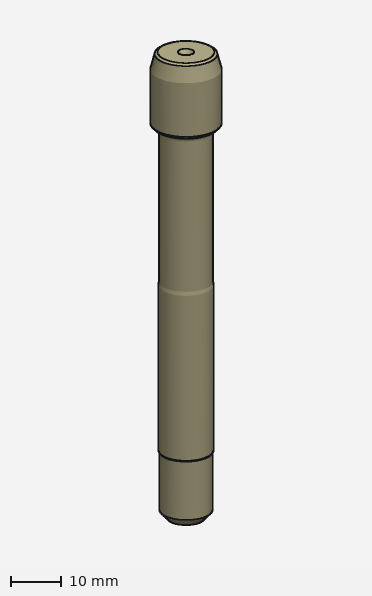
import cadquery as cq
import math

length = 100.0
head_diameter = 14.2
shank_diameter = 10.7
collar_diameter = 11.0
pilot_diameter = 10.6

crown_length = 3.7
crown_angle = 15.0
rim_bevel_height = 0.4
rim_bevel_width = 0.6
head_length = 15.2
underside_bevel = 0.7
neck_radius = 1.1

collar_bottom = 14.6
collar_top = 50.0
collar_upper_taper = 0.8
collar_lower_taper = 0.3
tip_length = 1.8
tip_diameter = 7.4

hole_diameter = 2.0
hole_depth = 4.0
drill_point_angle = 120.0
countersink_diameter = 3.2
countersink_angle = 60.0


def cone_height(large_diameter, small_diameter, included_angle):
    """Axial height of a cone between two diameters."""
    return (large_diameter - small_diameter) / 2 / math.tan(math.radians(included_angle / 2))


def make_body():
    """Revolve the stepped half profile about the Z axis."""
    head_r = head_diameter / 2
    shank_r = shank_diameter / 2
    collar_r = collar_diameter / 2
    pilot_r = pilot_diameter / 2

    crown_base_z = length - crown_length
    rim_z = length - rim_bevel_height
    rim_r = head_r - (rim_z - crown_base_z) * math.tan(math.radians(crown_angle))
    head_bottom_z = length - head_length
    neck_top_z = head_bottom_z - underside_bevel

    neck_outer_r = shank_r + neck_radius
    neck_bottom_z = neck_top_z - neck_radius
    arc_inset = neck_radius * (1 - math.sqrt(0.5))

    return (
        cq.Workplane("XZ")
        .moveTo(0, 0)
        .lineTo(tip_diameter / 2, 0)
        .lineTo(pilot_r, tip_length)
        .lineTo(pilot_r, collar_bottom - collar_lower_taper)
        .lineTo(collar_r, collar_bottom)
        .lineTo(collar_r, collar_top)
        .lineTo(shank_r, collar_top + collar_upper_taper)
        .lineTo(shank_r, neck_bottom_z)
        .threePointArc(
            (shank_r + arc_inset, neck_top_z - arc_inset),
            (neck_outer_r, neck_top_z),
        )
        .lineTo(head_r, head_bottom_z)
        .lineTo(head_r, crown_base_z)
        .lineTo(rim_r, rim_z)
        .lineTo(rim_r - rim_bevel_width, length)
        .lineTo(0, length)
        .close()
        .revolve(360, (0, 0), (0, 1))
    )


def make_centre_hole():
    """Countersunk blind hole with a conical drill point."""
    hole_r = hole_diameter / 2
    hole_bottom_z = length - hole_depth
    point_height = cone_height(hole_diameter, 0, drill_point_angle)
    countersink_depth = cone_height(countersink_diameter, hole_diameter, countersink_angle)

    return (
        cq.Workplane("XZ")
        .moveTo(0, hole_bottom_z - point_height)
        .lineTo(hole_r, hole_bottom_z)
        .lineTo(hole_r, length - countersink_depth)
        .lineTo(countersink_diameter / 2, length)
        .lineTo(0, length)
        .close()
        .revolve(360, (0, 0), (0, 1))
    )


result = make_body().cut(make_centre_hole())